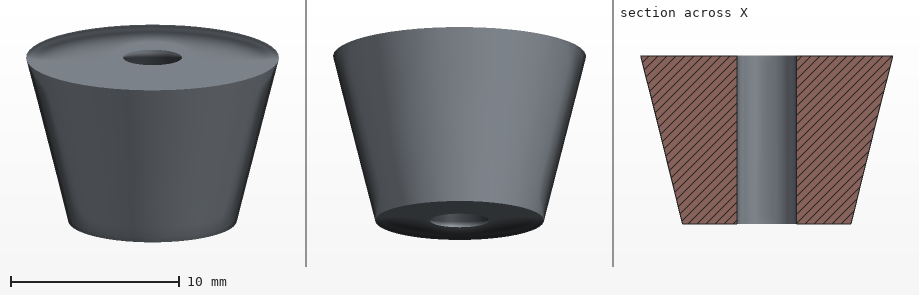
import cadquery as cq

top_diameter = 15.0
bottom_diameter = 10.0
height = 10.0
bore_diameter = 3.5

top_radius = top_diameter / 2
bottom_radius = bottom_diameter / 2
bore_radius = bore_diameter / 2


def tapered_bushing():
    """Revolve the wall section, wide end up, around the straight through bore."""
    wall_section = [
        (bore_radius, 0),
        (bottom_radius, 0),
        (top_radius, height),
        (bore_radius, height),
    ]
    return cq.Workplane("XZ").polyline(wall_section).close().revolve(360, (0, 0), (0, 1))


result = tapered_bushing()